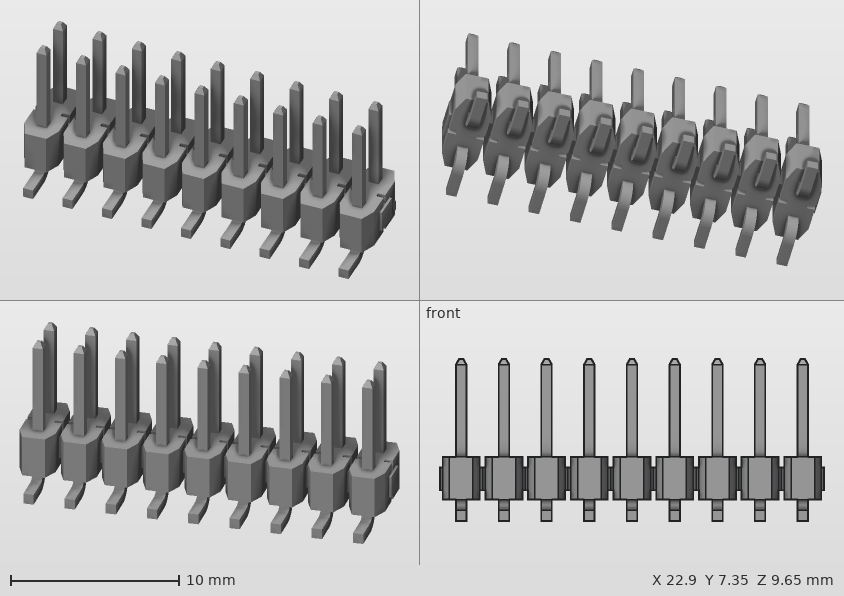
import cadquery as cq

LENGTH = 22.85
SEGMENT_COUNT = 9
PITCH = LENGTH / SEGMENT_COUNT
TOTAL_WIDTH = 7.35
TOTAL_HEIGHT = 9.65

BLOCK_LENGTH = 2.22
BLOCK_WIDTH = 2 * PITCH
BLOCK_HEIGHT = PITCH
BLOCK_BOTTOM = 1.28
CORNER_X = 0.41
CORNER_Y = 0.94

BOSS_WIDTH = 1.55
BOSS_HEIGHT = 1.37
BOSS_BOTTOM = BLOCK_BOTTOM + 0.55

SLOT_WIDTH = 0.3
SLOT_DEPTH = 0.48

PIN_SIZE = 0.65
PIN_SPACING = PITCH
TIP_SIZE = 0.25
TIP_HEIGHT = 0.35
INNER_BEND_RADIUS = 0.5
OUTER_BEND_RADIUS = INNER_BEND_RADIUS + PIN_SIZE


def make_block():
    """Octagonal block with a full-height slot in the middle of each X face."""
    half_length = BLOCK_LENGTH / 2
    half_width = BLOCK_WIDTH / 2
    outline = [
        (half_length, half_width - CORNER_Y),
        (half_length - CORNER_X, half_width),
        (CORNER_X - half_length, half_width),
        (-half_length, half_width - CORNER_Y),
        (-half_length, CORNER_Y - half_width),
        (CORNER_X - half_length, -half_width),
        (half_length - CORNER_X, -half_width),
        (half_length, CORNER_Y - half_width),
    ]
    base = cq.Workplane("XY", origin=(0, 0, BLOCK_BOTTOM))
    block = base.polyline(outline).close().extrude(BLOCK_HEIGHT)
    slots = (
        base.pushPoints([(-half_length, 0), (half_length, 0)])
        .rect(2 * SLOT_DEPTH, SLOT_WIDTH)
        .extrude(BLOCK_HEIGHT)
    )
    return block.cut(slots)


def make_bosses():
    """Bar whose two ends stand out of the block as the joining bosses."""
    return cq.Workplane("XY", origin=(0, 0, BOSS_BOTTOM)).rect(PITCH, BOSS_WIDTH).extrude(BOSS_HEIGHT)


def make_pin():
    """Gull-wing pin on the +Y side: a foot, a bend, an upright post and a tapered tip."""
    outer_face = (PIN_SPACING + PIN_SIZE) / 2
    inner_face = outer_face - PIN_SIZE
    foot_end = TOTAL_WIDTH / 2
    bend_center_y = inner_face + OUTER_BEND_RADIUS
    shoulder = TOTAL_HEIGHT - TIP_HEIGHT
    shank = (
        cq.Workplane("YZ", origin=(-PIN_SIZE / 2, 0, 0))
        .moveTo(foot_end, 0)
        .lineTo(bend_center_y, 0)
        .radiusArc((inner_face, OUTER_BEND_RADIUS), OUTER_BEND_RADIUS)
        .lineTo(inner_face, shoulder)
        .lineTo(outer_face, shoulder)
        .lineTo(outer_face, OUTER_BEND_RADIUS)
        .radiusArc((bend_center_y, PIN_SIZE), -INNER_BEND_RADIUS)
        .lineTo(foot_end, PIN_SIZE)
        .close()
        .extrude(PIN_SIZE)
    )
    tip = (
        cq.Workplane("XY", origin=(0, PIN_SPACING / 2, shoulder))
        .rect(PIN_SIZE, PIN_SIZE)
        .workplane(offset=TIP_HEIGHT)
        .rect(TIP_SIZE, TIP_SIZE)
        .loft(ruled=True)
    )
    return shank.union(tip)


def make_segment(center_x):
    """One header segment, its block and both pins in one solid, centered at the given X."""
    pin = make_pin()
    opposite_pin = pin.mirror("XZ")
    segment = make_block().union(make_bosses()).union(pin).union(opposite_pin)
    return segment.translate((center_x, 0, 0))


first_center = (PITCH - LENGTH) / 2
segments = [make_segment(first_center + index * PITCH) for index in range(SEGMENT_COUNT)]

result = cq.Compound.makeCompound([segment.val() for segment in segments])